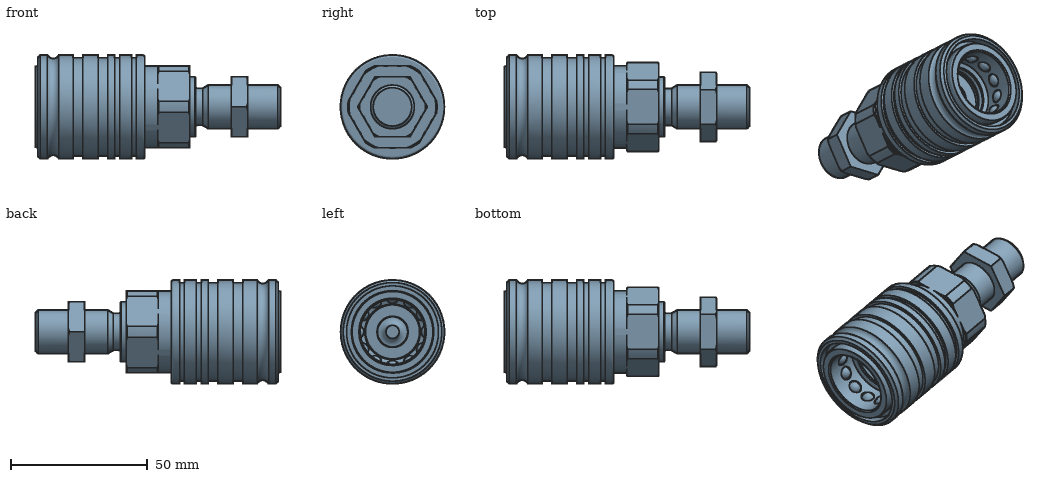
import cadquery as cq
import math


total_length = 89.5
sleeve_front = 0.8
sleeve_rear = 40.0
hex_front = 44.6
hex_rear = 56.4
collar_rear = 58.5
nut_front = 71.5
nut_width = 6.0

sleeve_radius = 19.0
sleeve_edge = 1.0
grip_depth = 1.0
grip_grooves = [(13.8, 17.3), (22.9, 26.4), (28.9, 30.7), (35.1, 36.9)]
finger_groove_start = 4.4
finger_groove_end = 8.6
finger_groove_depth = 1.3
sleeve_recess_radius = 16.8
sleeve_recess_end = 4.0

body_radius = 15.05
front_taper_depth = 0.3
front_taper_length = 1.0
hex_across_flats = 30.0
hex_corner_radius = 16.3
hex_chamfer = 0.45
collar_radius = 11.0
collar_chamfer = 0.35

thread_radius = 8.0
thread_chamfer = 1.0
relief_radius = 6.8
relief_fillet = 0.4
relief_cone_start = 61.0
relief_cone_end = 63.1

mouth_radius = 12.3
mouth_chamfer = 0.5
cone_start = 12.8
cone_length = 0.7
lip_radius = 10.15
lip_width = 0.8
seal_width = 2.6
seal_inner_radius = 9.85
seal_groove_radius = 10.9
socket_floor = 18.0
valve_tip_radius = 2.4
valve_flare = 3.1
valve_rim = 0.2

ball_count = 12
ball_radius = 2.4
ball_ring_radius = 12.85
ball_x = 7.6

nut_across_flats = 22.0
nut_chamfer_radius = 12.0
nut_chamfer_angle = 30.0

cut_margin = 1.0


def turned(profile):
    """Revolve an (x, radius) outline drawn on the XY plane about the X axis."""
    return profile.close().revolve(360, (0, 0, 0), (1, 0, 0))


def ring(x_start, x_end, inner_radius, outer_radius):
    """A plain tube along X."""
    outline = cq.Workplane("XY").moveTo(x_start, inner_radius).lineTo(x_end, inner_radius)
    return turned(outline.lineTo(x_end, outer_radius).lineTo(x_start, outer_radius))


def hex_prism(x_start, length, across_flats):
    """A hexagonal bar along X with flats on its +Z and -Z sides."""
    corner_diameter = across_flats / math.cos(math.radians(30))
    return cq.Workplane("YZ", origin=(x_start, 0, 0)).polygon(6, corner_diameter).extrude(length)


def make_sleeve():
    groove_middle = (finger_groove_start + finger_groove_end) / 2
    outline = (
        cq.Workplane("XY")
        .moveTo(sleeve_front, sleeve_recess_radius)
        .lineTo(sleeve_front, sleeve_radius - sleeve_edge)
        .lineTo(sleeve_front + sleeve_edge, sleeve_radius)
        .lineTo(finger_groove_start, sleeve_radius)
        .threePointArc(
            (groove_middle, sleeve_radius - finger_groove_depth),
            (finger_groove_end, sleeve_radius),
        )
        .lineTo(sleeve_rear - sleeve_edge, sleeve_radius)
        .radiusArc((sleeve_rear, sleeve_radius - sleeve_edge), sleeve_edge)
        .lineTo(sleeve_rear, body_radius)
        .lineTo(sleeve_recess_end, body_radius)
        .lineTo(sleeve_recess_end, sleeve_recess_radius)
    )
    sleeve = turned(outline)
    for start, end in grip_grooves:
        sleeve = sleeve.cut(ring(start, end, sleeve_radius - grip_depth, sleeve_radius + cut_margin))
    return sleeve


def body_blank():
    """Outside of the coupling body, with the hexagon still round, and the threaded stud."""
    hex_shoulder_radius = hex_corner_radius - hex_chamfer
    outline = (
        cq.Workplane("XY")
        .lineTo(0, body_radius - front_taper_depth)
        .lineTo(front_taper_length, body_radius)
        .lineTo(hex_front, body_radius)
        .lineTo(hex_front, hex_shoulder_radius)
        .lineTo(hex_front + hex_chamfer, hex_corner_radius)
        .lineTo(hex_rear - hex_chamfer, hex_corner_radius)
        .lineTo(hex_rear, hex_shoulder_radius)
        .lineTo(hex_rear, collar_radius)
        .lineTo(collar_rear - collar_chamfer, collar_radius)
        .lineTo(collar_rear, collar_radius - collar_chamfer)
        .lineTo(collar_rear, relief_radius + relief_fillet)
        .radiusArc((collar_rear + relief_fillet, relief_radius), -relief_fillet)
        .lineTo(relief_cone_start, relief_radius)
        .lineTo(relief_cone_end, thread_radius)
        .lineTo(total_length - thread_chamfer, thread_radius)
        .lineTo(total_length, thread_radius - thread_chamfer)
        .lineTo(total_length, 0)
    )
    return turned(outline)


def socket_cavity():
    """Mouth, cone, lip, round seal bead and valve chamber, with the flared valve tip left standing."""
    lip_start = cone_start + cone_length
    seal_start = lip_start + lip_width
    seal_end = seal_start + seal_width
    flare_radius = valve_tip_radius + valve_flare
    flare_base = socket_floor - valve_rim
    valve_face = flare_base - valve_flare
    outline = (
        cq.Workplane("XY")
        .lineTo(0, mouth_radius)
        .lineTo(mouth_chamfer, mouth_radius - mouth_chamfer)
        .lineTo(cone_start, mouth_radius - mouth_chamfer)
        .lineTo(lip_start, lip_radius)
        .lineTo(seal_start, lip_radius)
        .lineTo(seal_start, seal_groove_radius)
        .threePointArc(
            ((seal_start + seal_end) / 2, seal_inner_radius),
            (seal_end, seal_groove_radius),
        )
        .lineTo(seal_end, lip_radius)
        .lineTo(socket_floor, lip_radius)
        .lineTo(socket_floor, flare_radius + valve_rim)
        .lineTo(flare_base, flare_radius)
        .radiusArc((valve_face, valve_tip_radius), valve_flare)
        .lineTo(valve_face, 0)
    )
    return turned(outline)


def ball_hole():
    """A radial hole through the mouth wall down to the centre of the ball."""
    depth = ball_ring_radius - lip_radius
    return cq.Workplane("XY", origin=(ball_x, 0, lip_radius)).circle(ball_radius).extrude(depth)


def half_ball():
    """The inner half of a ball, standing on the floor of its hole and reaching into the mouth."""
    ball = cq.Workplane("XY", origin=(ball_x, 0, ball_ring_radius)).sphere(ball_radius, direct=(1, 0, 0))
    return ball.intersect(ball_hole())


def make_body():
    flats = hex_prism(sleeve_rear, hex_rear - sleeve_rear, hex_across_flats)
    around_flats = ring(sleeve_rear, hex_rear, 0, hex_corner_radius + cut_margin).cut(flats)
    body = body_blank().cut(around_flats).cut(socket_cavity())
    for index in range(ball_count):
        angle = index * 360 / ball_count
        body = body.cut(ball_hole().rotate((0, 0, 0), (1, 0, 0), angle))
        body = body.union(half_ball().rotate((0, 0, 0), (1, 0, 0), angle))
    return body


def make_locknut():
    corner_radius = nut_across_flats / 2 / math.cos(math.radians(30))
    nut_rear = nut_front + nut_width
    chamfer_length = (corner_radius - nut_chamfer_radius) * math.tan(math.radians(nut_chamfer_angle))
    envelope = (
        cq.Workplane("XY")
        .moveTo(nut_front, thread_radius)
        .lineTo(nut_front, corner_radius)
        .lineTo(nut_rear - chamfer_length, corner_radius)
        .lineTo(nut_rear, nut_chamfer_radius)
        .lineTo(nut_rear, thread_radius)
    )
    return hex_prism(nut_front, nut_width, nut_across_flats).intersect(turned(envelope))


sleeve = make_sleeve()
body = make_body()
locknut = make_locknut()

result = cq.Compound.makeCompound([sleeve.val(), body.val(), locknut.val()])